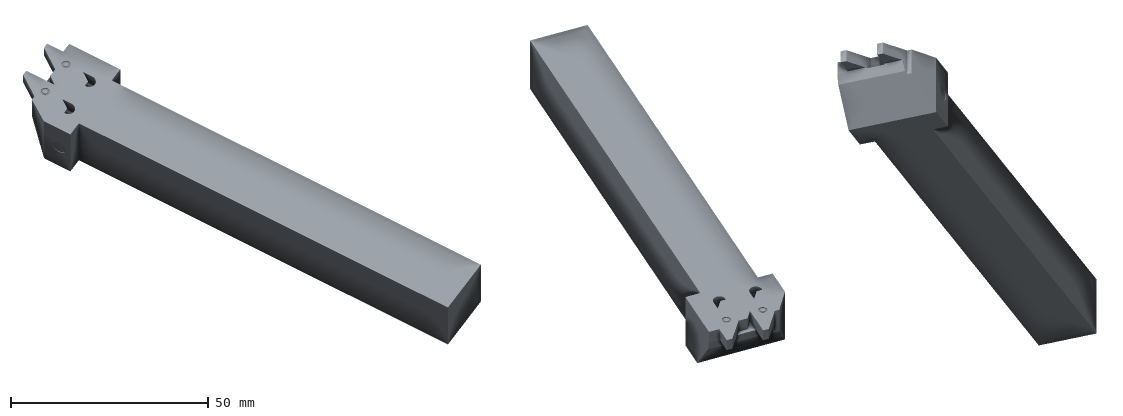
import cadquery as cq

length = 130.0
height = 15.9
shank_width = 15.9
head_width = 24.0
head_front = 4.8
head_back = 20.0

nose_step = 6.0
nose_step_side = -7.86
corner_end = 12.1
nose_break_x = 5.5
nose_break_depth = 6.2
nose_bottom_x = 12.4

insert_pitch = 10.0
upper_insert_y = 6.05
insert_x = 7.5
insert_half_width = 3.1
insert_flank = 1.5
insert_edge_length = 8.5
insert_thickness = 3.2
seat_depth = 3.5
screw_radius = 1.2
socket_radius = 0.6
screw_groove_depth = 0.3

slot_radius = 1.7
slot_end_x = 15.3

side_mark_x = 16.8
side_mark_depth_from_top = 8.0
side_mark_radius = 1.8
side_mark_recess = 0.1

lower_insert_y = upper_insert_y - insert_pitch
insert_centres = [(insert_x, upper_insert_y), (insert_x, lower_insert_y)]
head_side = head_width / 2
flank_slope = (2 * insert_half_width - insert_flank) / (2 * insert_x - insert_edge_length)


def down_from_top(points, depth):
    """Prism with the given XY outline, running down from the top face."""
    return cq.Workplane("XY").workplane(offset=height).polyline(points).close().extrude(-depth)


def insert_flank_y(x, centre_y):
    """Y of the sloping front flank of an insert at the given X."""
    return centre_y + insert_half_width - insert_flank - flank_slope * x


def insert_back_y(x, centre_y):
    """Y of the sloping back flank of an insert at the given X."""
    return centre_y + insert_half_width - flank_slope * (x - insert_edge_length)


def insert_outline(centre):
    """Hexagon of one insert, with its second half turned about the screw."""
    x, y = centre
    half = [
        (0, y + insert_half_width - insert_flank),
        (0, y + insert_half_width),
        (insert_edge_length, y + insert_half_width),
    ]
    return half + [(2 * x - px, 2 * y - py) for px, py in half]


def make_head():
    outline = [
        (head_front, head_side),
        (head_back, head_side),
        (head_back, -head_side),
        (corner_end, -head_side),
        (nose_step, nose_step_side),
        (nose_step, insert_flank_y(nose_step, lower_insert_y)),
        (head_front, insert_flank_y(head_front, lower_insert_y)),
    ]
    side_profile = [
        (head_front, height),
        (head_front, height - seat_depth),
        (nose_break_x, height - nose_break_depth),
        (nose_bottom_x, 0),
        (head_back, 0),
        (head_back, height),
    ]
    profile = cq.Workplane("XZ").polyline(side_profile).close().extrude(head_side, both=True)
    return down_from_top(outline, height).intersect(profile)


def make_shank():
    return cq.Workplane("XY").box(
        length - head_back, shank_width, height, centered=(False, True, False)
    ).translate((head_back, 0, 0))


def open_seat():
    """Open ledge in front of the wall between the two inserts."""
    outline = [
        (0, insert_flank_y(0, upper_insert_y)),
        (nose_step, insert_flank_y(nose_step, upper_insert_y)),
        (nose_step, insert_back_y(nose_step, lower_insert_y)),
        (insert_edge_length, lower_insert_y + insert_half_width),
        (0, lower_insert_y + insert_half_width),
    ]
    return down_from_top(outline, seat_depth)


def relief_slot(centre):
    x, y = centre
    slot_y = y - insert_half_width + slot_radius
    run = cq.Workplane("XY").box(
        slot_end_x - x, 2 * slot_radius, seat_depth, centered=(False, True, False)
    ).translate((x, slot_y, height - seat_depth))
    end = cq.Workplane("XY").workplane(offset=height).center(slot_end_x, slot_y)
    return run.union(end.circle(slot_radius).extrude(-seat_depth))


def screw_groove(centre):
    """Ring-shaped gap around the screw of one insert."""
    ring = cq.Workplane("XY").workplane(offset=height).center(*centre)
    return ring.circle(screw_radius).circle(socket_radius).extrude(-screw_groove_depth)


def side_mark():
    face = cq.Workplane("XZ", origin=(side_mark_x, -head_side, height - side_mark_depth_from_top))
    return face.circle(side_mark_radius).extrude(-side_mark_recess)


result = make_head().union(make_shank()).cut(open_seat()).cut(side_mark())
for insert_centre in insert_centres:
    result = result.cut(relief_slot(insert_centre))
for insert_centre in insert_centres:
    result = result.union(down_from_top(insert_outline(insert_centre), insert_thickness))
    result = result.cut(screw_groove(insert_centre))